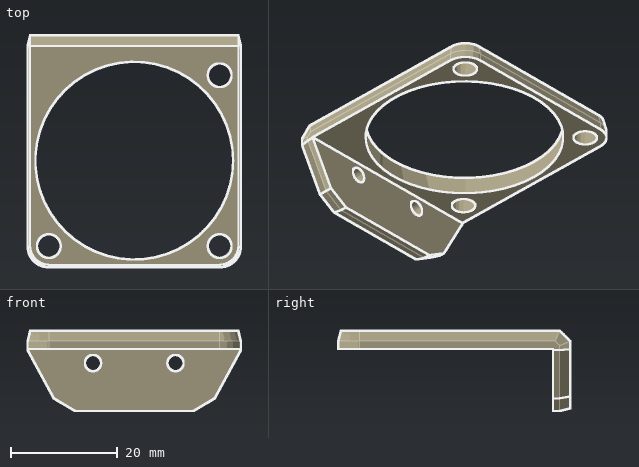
import cadquery as cq
import math

width = 40.0
length = 43.5
height = 15.1
plate_thickness = 3.5
flange_thickness = 3.3
front_y = -width / 2
rear_y = front_y + length
flange_inner_y = rear_y - flange_thickness
top_z = plate_thickness
bottom_z = top_z - height
corner_radius = 4.0

bevel_depth = 2.0
bevel_inset = 0.5
bevel_angle = math.degrees(math.atan2(bevel_inset, bevel_depth))
bend_chamfer = 2.0

shoulder_z = -0.15
knee_x = 15.1
knee_z = -9.2
foot_x = 11.1

bore_diameter = 37.0
screw_diameter = 4.4
screw_offset = 16.0
screw_corners = [
    (-screw_offset, -screw_offset),
    (screw_offset, -screw_offset),
    (screw_offset, screw_offset),
]
pin_diameter = 3.0
pin_spacing = 15.45
pin_z = -2.6

reach = 60.0


def beveled_prism(outline):
    """Prism with a straight lower part and a beveled skin on its outer end.

    The outline lies on the level where the bevel begins; its normal points outwards.
    """
    skin = outline.extrude(bevel_depth, taper=bevel_angle)
    core = outline.toPending().extrude(-reach)
    return core.union(skin)


def plate_envelope():
    """Plate plan with rounded front corners, beveled towards the top."""
    outline = (
        cq.Workplane("XY", origin=(0, 0, top_z - bevel_depth))
        .moveTo(-width / 2, reach)
        .lineTo(-width / 2, front_y + corner_radius)
        .radiusArc((-width / 2 + corner_radius, front_y), -corner_radius)
        .lineTo(width / 2 - corner_radius, front_y)
        .radiusArc((width / 2, front_y + corner_radius), -corner_radius)
        .lineTo(width / 2, reach)
        .close()
    )
    return beveled_prism(outline)


def flange_envelope():
    """Flange outline, beveled towards the rear face."""
    rear_plane = cq.Plane(
        origin=(0, rear_y - bevel_depth, 0), xDir=(-1, 0, 0), normal=(0, 1, 0)
    )
    outline = cq.Workplane(rear_plane).polyline([
        (-width / 2, reach),
        (-width / 2, shoulder_z),
        (-knee_x, knee_z),
        (-foot_x, bottom_z),
        (foot_x, bottom_z),
        (knee_x, knee_z),
        (width / 2, shoulder_z),
        (width / 2, reach),
    ]).close()
    return beveled_prism(outline)


def bend_envelope():
    """Band of full width, beveled towards the 45 degree flat of the bend."""
    inward = bevel_depth * math.sqrt(0.5)
    flat_middle_y = rear_y - bend_chamfer / 2
    flat_middle_z = top_z - bend_chamfer / 2
    bend_plane = cq.Plane(
        origin=(0, flat_middle_y - inward, flat_middle_z - inward),
        xDir=(1, 0, 0),
        normal=(0, 1, 1),
    )
    outline = cq.Workplane(bend_plane).rect(width, 2 * reach)
    return beveled_prism(outline)


def inner_space():
    """Space below the plate and in front of the flange."""
    return (
        cq.Workplane("XY")
        .box(2 * reach, reach, reach, centered=(True, False, False))
        .translate((0, flange_inner_y - reach, -reach))
    )


def plate_holes():
    bore = cq.Workplane("XY").circle(bore_diameter / 2).extrude(plate_thickness)
    screws = (
        cq.Workplane("XY")
        .pushPoints(screw_corners)
        .circle(screw_diameter / 2)
        .extrude(plate_thickness)
    )
    return bore.union(screws)


def flange_holes():
    return (
        cq.Workplane("XZ", origin=(0, flange_inner_y, 0))
        .pushPoints([(-pin_spacing / 2, pin_z), (pin_spacing / 2, pin_z)])
        .circle(pin_diameter / 2)
        .extrude(-flange_thickness)
    )


body = plate_envelope().intersect(flange_envelope()).intersect(bend_envelope())
bracket = body.cut(inner_space())
result = bracket.cut(plate_holes()).cut(flange_holes())